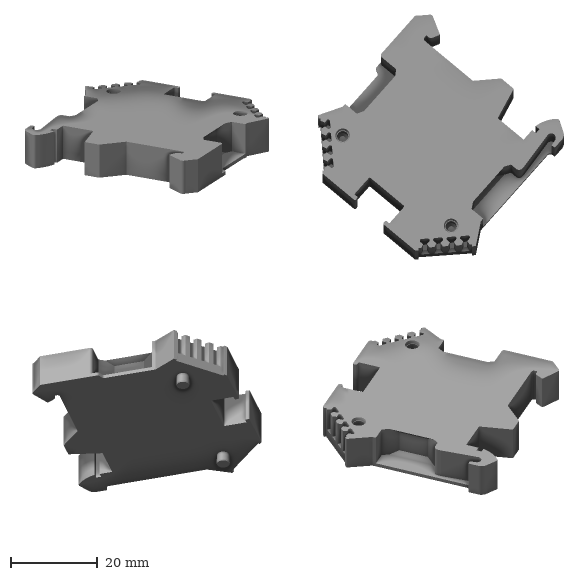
import cadquery as cq
import math

HEIGHT = 45.35
HALF_WIDTH = 24.0
THICKNESS = 8.1
WEB = 0.85

WING_Y = 35.4
BEVEL_TOP_X = HALF_WIDTH - (HEIGHT - WING_Y)
WAIST_X = 21.0
WAIST_Y = 30.2
FOOT_X = 22.5
SHOULDER_INNER_Y = 17.6
SHOULDER_OUTER_Y = 16.75
SHOULDER_RADIUS = 0.6

STRIP_DEPTH = 0.5
STRIP_TOP_INSET = 0.75
STRIP_BOTTOM_INSET = 0.85

NOTCH_HALF_WIDTH = 5.35
NOTCH_MOUTH_HALF_WIDTH = 4.2
NOTCH_BOTTOM_Y = 38.95
NOTCH_LIP = 1.05
NOTCH_RADIUS = 0.3

RAIL_Y = 5.9
LEDGE_Y = 4.65
STOP_Y = 1.2
STOP_LEFT_X = -6.15
STOP_RIGHT_X = -2.35
STOP_ROOT_LEFT_X = -7.9
STOP_ROOT_RIGHT_X = 2.25
CLEARANCE_Y = 8.95

FIXED_SLOT_X = 17.45
FIXED_SLOT_RADIUS = 0.6
FIXED_LEDGE_X = 16.25
FIXED_LEDGE_RADIUS = 0.65
FIXED_NUB = (15.15, 2.5)
FIXED_TIP_ARC = [(20.35, 0.65), (19.8, 0.2), (19.15, 0.35)]
FIXED_CHAMFER_Y = 2.85

SPRING_SEAT_X = -15.8
SPRING_SLOT_X = -16.95
SPRING_NOSE_ARC = [(SPRING_SEAT_X, LEDGE_Y), (-16.9, 1.9), (-18.45, 0.1)]
SPRING_TIP_ARC = [SPRING_NOSE_ARC[-1], (-18.8, 0), (-19.15, 0.1)]
SPRING_HEEL_Y = 2.1
SPRING_HEEL_RADIUS = 1.9
SPRING_TOP_Y = 5.7
SPRING_WAIST_RADIUS = 0.95
HOOK_CORNER_RADIUS = 0.25

POCKET_TOP_Y = 29.35
POCKET_BOTTOM_Y = 15.35
POCKET_WALL_X = 16.6
POCKET_SHOULDER_X = 17.45
WALL_TOP_Y = 27.8
WALL_BOTTOM_Y = 16.75
RECESS_DEPTH = 1.15
RECESS_LOW_Z = 1.85
RECESS_HIGH_Z = 6.95
LEDGE_RADIUS = 0.65

SPRING_X = 20.05
SPRING_RADIUS = 1.05
SPRING_BEND_Y = 13.5
SPRING_END = (-20.35, 4.45)
SPRING_END_RADIUS = 1.05
SPRING_MOUTH = (-21.6, 5.95)

SLOT_COUNT = 4
SLOT_SPAN = 9.3
FIRST_SLOT_INSET = 2.4
SLOT_FLOOR_Z = 2.75
THROAT_FLOOR_Z = 2.35
MOUTH_HALF_WIDTH = 0.95
NECK_HALF_WIDTH = 0.455
NECK_DEPTH = 0.85
FLARE_DEPTH = 1.6
SIDE_DEPTH = 1.85
SLOT_DEPTH = 2.15
SLOT_HALF_WIDTH = 1.15
SLOT_FLOOR_HALF_WIDTH = 0.85

PEG_X = 16.5
PEG_Y = WING_Y
PEG_LENGTH = 2.5
PEG_ROOT_RADIUS = 1.45
PEG_RADIUS = 1.55
PEG_TIP_RADIUS = 1.45
PEG_TIP_HEIGHT = 0.3
SOCKET_MOUTH_RADIUS = 1.7
SOCKET_MOUTH_DEPTH = 0.7
SOCKET_LEDGE_RADIUS = 1.45
SOCKET_BORE_RADIUS = 1.3
SOCKET_BORE_DEPTH = 2.5
SOCKET_FLOOR_RADIUS = 0.7
SOCKET_DEPTH = 3.1


def mirrored(points):
    """Reflect points about X = 0 and reverse them, keeping the path continuous."""
    return [(-x, y) for x, y in reversed(points)]


def on_bevel(distance, depth):
    """Point on the right bevel: distance from its upper end, depth measured inward."""
    run = math.sqrt(0.5)
    return (BEVEL_TOP_X + run * (distance - depth), HEIGHT - run * (distance + depth))


def fillet_corners(solid, corners, radius):
    """Round the vertical edges standing at the given XY corners."""
    for x, y in corners:
        edge = cq.selectors.NearestToPointSelector((x, y, THICKNESS / 2))
        solid = solid.edges("|Z").edges(edge).fillet(radius)
    return solid


def make_plate():
    bevel_length = math.hypot(HALF_WIDTH - BEVEL_TOP_X, HEIGHT - WING_Y)
    strip_end = bevel_length - STRIP_BOTTOM_INSET
    lip_y = HEIGHT - NOTCH_LIP
    notch_corners = [
        (NOTCH_HALF_WIDTH, NOTCH_BOTTOM_Y),
        (NOTCH_MOUTH_HALF_WIDTH, lip_y),
        (NOTCH_MOUTH_HALF_WIDTH, HEIGHT),
    ]
    upper_right = [
        notch_corners[0],
        (NOTCH_HALF_WIDTH, lip_y),
        notch_corners[1],
        notch_corners[2],
        (BEVEL_TOP_X, HEIGHT),
        on_bevel(STRIP_TOP_INSET, 0),
        on_bevel(STRIP_TOP_INSET, STRIP_DEPTH),
        on_bevel(strip_end, STRIP_DEPTH),
        on_bevel(strip_end, 0),
        (HALF_WIDTH, WING_Y),
        (WAIST_X, WAIST_Y),
    ]
    shoulder_inner = (WAIST_X, SHOULDER_INNER_Y)
    shoulder_outer = (FOOT_X, SHOULDER_OUTER_Y)
    fixed_ledge = (FIXED_LEDGE_X, LEDGE_Y)
    fixed_slot_corner = (FIXED_SLOT_X, RAIL_Y)
    spring_heel = (-FOOT_X, SPRING_HEEL_Y)
    spring_shoulder = (-FOOT_X, SPRING_TOP_Y)
    spring_waist = (-WAIST_X, SPRING_TOP_Y)
    fixed_hook = [
        FIXED_NUB,
        fixed_ledge,
        (FIXED_SLOT_X, LEDGE_Y),
        fixed_slot_corner,
    ]
    stop = [
        (STOP_ROOT_RIGHT_X, RAIL_Y),
        (STOP_RIGHT_X, STOP_Y),
        (STOP_LEFT_X, STOP_Y),
        (STOP_ROOT_LEFT_X, CLEARANCE_Y),
    ]
    spring_grip = [
        (SPRING_SEAT_X, CLEARANCE_Y),
        (SPRING_SEAT_X, RAIL_Y),
        (SPRING_SLOT_X, RAIL_Y),
        (SPRING_SLOT_X, LEDGE_Y),
        SPRING_NOSE_ARC[0],
    ]
    right_side = upper_right + [
        shoulder_inner,
        shoulder_outer,
        (FOOT_X, FIXED_CHAMFER_Y),
        FIXED_TIP_ARC[0],
    ]
    left_side = [spring_heel, spring_shoulder, spring_waist] + mirrored(upper_right)

    plate = (
        cq.Workplane("XY")
        .polyline(right_side)
        .threePointArc(*FIXED_TIP_ARC[1:])
        .polyline(fixed_hook + stop + spring_grip, includeCurrent=True)
        .threePointArc(*SPRING_NOSE_ARC[1:])
        .threePointArc(*SPRING_TIP_ARC[1:])
        .polyline(left_side, includeCurrent=True)
        .close()
        .extrude(THICKNESS)
    )

    plate = fillet_corners(plate, notch_corners + mirrored(notch_corners), NOTCH_RADIUS)
    plate = fillet_corners(plate, [shoulder_inner, shoulder_outer], SHOULDER_RADIUS)
    plate = fillet_corners(plate, [fixed_ledge], FIXED_LEDGE_RADIUS)
    plate = fillet_corners(plate, [spring_waist], SPRING_WAIST_RADIUS)
    plate = fillet_corners(plate, [fixed_slot_corner], FIXED_SLOT_RADIUS)
    plate = fillet_corners(plate, [FIXED_NUB, spring_shoulder], HOOK_CORNER_RADIUS)
    return fillet_corners(plate, [spring_heel], SPRING_HEEL_RADIUS)


def pocket_recess():
    """Tapered recess sunk into the inner wall of the right pocket."""
    wall_height = THICKNESS - WEB
    stretch = RECESS_DEPTH / (POCKET_SHOULDER_X - POCKET_WALL_X)
    recess_top_y = WALL_TOP_Y - stretch * (POCKET_TOP_Y - WALL_TOP_Y)
    recess_bottom_y = WALL_BOTTOM_Y + stretch * (WALL_BOTTOM_Y - POCKET_BOTTOM_Y)
    return (
        cq.Workplane("YZ", origin=(POCKET_WALL_X, 0, 0))
        .center((WALL_TOP_Y + WALL_BOTTOM_Y) / 2, WEB + wall_height / 2)
        .rect(WALL_TOP_Y - WALL_BOTTOM_Y, wall_height)
        .workplane(offset=-RECESS_DEPTH, origin=(POCKET_WALL_X, 0, 0))
        .center((recess_top_y + recess_bottom_y) / 2, (RECESS_LOW_Z + RECESS_HIGH_Z) / 2)
        .rect(recess_top_y - recess_bottom_y, RECESS_HIGH_Z - RECESS_LOW_Z)
        .loft(ruled=True)
    )


def pocket_wall_points():
    """Pocket boundary on the right side, from the waist around the inner wall."""
    return [
        (HALF_WIDTH, POCKET_TOP_Y),
        (POCKET_SHOULDER_X, POCKET_TOP_Y),
        (POCKET_WALL_X, WALL_TOP_Y),
        (POCKET_WALL_X, WALL_BOTTOM_Y),
        (POCKET_SHOULDER_X, POCKET_BOTTOM_Y),
    ]


def make_right_pocket():
    pocket = (
        cq.Workplane("XY", origin=(0, 0, WEB))
        .polyline(pocket_wall_points() + [(FOOT_X - LEDGE_RADIUS, POCKET_BOTTOM_Y)])
        .radiusArc((FOOT_X, POCKET_BOTTOM_Y - LEDGE_RADIUS), LEDGE_RADIUS)
        .lineTo(HALF_WIDTH, POCKET_BOTTOM_Y - LEDGE_RADIUS)
        .close()
        .extrude(THICKNESS - WEB)
    )
    return pocket.union(pocket_recess())


def make_left_pocket():
    end_x, end_y = SPRING_END
    pocket = (
        cq.Workplane("XY", origin=(0, 0, WEB))
        .polyline([(-x, y) for x, y in pocket_wall_points()])
        .lineTo(-SPRING_X + SPRING_RADIUS, POCKET_BOTTOM_Y)
        .radiusArc((-SPRING_X, POCKET_BOTTOM_Y - SPRING_RADIUS), -SPRING_RADIUS)
        .lineTo(-SPRING_X, SPRING_BEND_Y)
        .lineTo(end_x + SPRING_END_RADIUS, end_y)
        .threePointArc((end_x, end_y - SPRING_END_RADIUS), (end_x - SPRING_END_RADIUS, end_y))
        .lineTo(*SPRING_MOUTH)
        .lineTo(-HALF_WIDTH, SPRING_MOUTH[1])
        .close()
        .extrude(THICKNESS - WEB)
    )
    return pocket.union(pocket_recess().mirror("YZ"))


def make_marker_slot(distance):
    """Dovetail slot in the right marker strip, with a throat floor sloping outward."""
    half_profile = [
        (MOUTH_HALF_WIDTH, 0),
        (NECK_HALF_WIDTH, NECK_DEPTH),
        (SLOT_HALF_WIDTH, FLARE_DEPTH),
        (SLOT_HALF_WIDTH, SIDE_DEPTH),
        (SLOT_FLOOR_HALF_WIDTH, SLOT_DEPTH),
    ]
    throat_profile = half_profile[:2]
    x, y = on_bevel(distance, STRIP_DEPTH)
    inward_plane = cq.Plane(origin=(x, y, 0), xDir=(-1, 1, 0), normal=(0, 0, 1))
    side_plane = cq.Plane(origin=(x, y, 0), xDir=(-1, -1, 0), normal=(-1, 1, 0))

    dovetail = (
        cq.Workplane(inward_plane)
        .workplane(offset=SLOT_FLOOR_Z)
        .polyline(half_profile + mirrored(half_profile))
        .close()
        .extrude(THICKNESS - SLOT_FLOOR_Z)
    )
    throat = (
        cq.Workplane(inward_plane)
        .polyline(throat_profile + mirrored(throat_profile))
        .close()
        .extrude(THICKNESS)
    )
    slope = (
        cq.Workplane(side_plane)
        .polyline([(0, THROAT_FLOOR_Z), (NECK_DEPTH, SLOT_FLOOR_Z), (0, SLOT_FLOOR_Z)])
        .close()
        .extrude(MOUTH_HALF_WIDTH, both=True)
    )
    return dovetail.union(throat.intersect(slope))


def make_peg():
    return (
        cq.Workplane("XZ")
        .polyline([
            (0, 0),
            (PEG_ROOT_RADIUS, 0),
            (PEG_RADIUS, PEG_TIP_HEIGHT - PEG_LENGTH),
            (PEG_TIP_RADIUS, -PEG_LENGTH),
            (0, -PEG_LENGTH),
        ])
        .close()
        .revolve(360, (0, 0, 0), (0, 1, 0))
        .translate((PEG_X, PEG_Y, 0))
    )


def make_socket():
    """Blind socket: tapered mouth, ledge, straight bore and a conical end with a flat floor."""
    return (
        cq.Workplane("XZ")
        .polyline([
            (0, THICKNESS),
            (SOCKET_MOUTH_RADIUS, THICKNESS),
            (SOCKET_LEDGE_RADIUS, THICKNESS - SOCKET_MOUTH_DEPTH),
            (SOCKET_BORE_RADIUS, THICKNESS - SOCKET_MOUTH_DEPTH),
            (SOCKET_BORE_RADIUS, THICKNESS - SOCKET_BORE_DEPTH),
            (SOCKET_FLOOR_RADIUS, THICKNESS - SOCKET_DEPTH),
            (0, THICKNESS - SOCKET_DEPTH),
        ])
        .close()
        .revolve(360, (0, 0, 0), (0, 1, 0))
        .translate((PEG_X, PEG_Y, 0))
    )


result = make_plate().cut(make_right_pocket()).cut(make_left_pocket())

slot_pitch = SLOT_SPAN / (SLOT_COUNT - 1)
for i in range(SLOT_COUNT):
    slot = make_marker_slot(FIRST_SLOT_INSET + i * slot_pitch)
    result = result.cut(slot).cut(slot.mirror("YZ"))

peg = make_peg()
socket = make_socket()
result = result.cut(socket).cut(socket.mirror("YZ"))
result = result.union(peg).union(peg.mirror("YZ"))